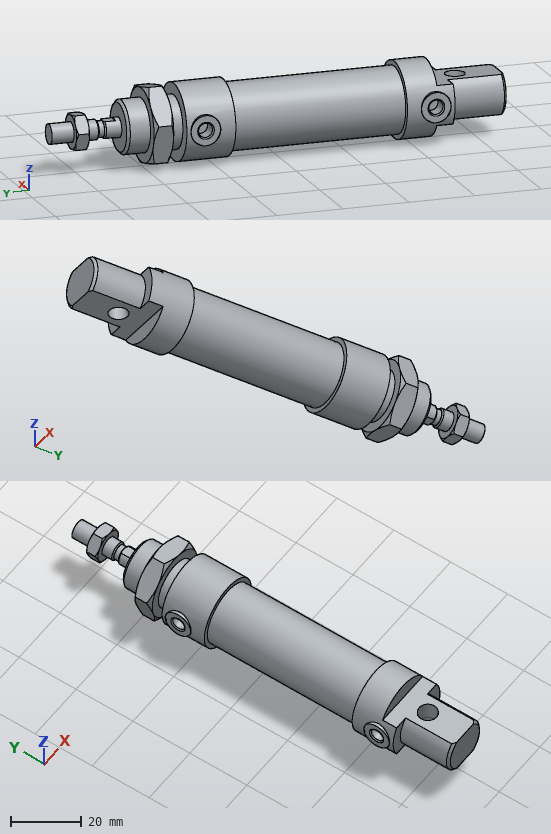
import cadquery as cq
import math

LENGTH = 136.0

CLEVIS_END = 17.0
REAR_CAP_STEP = 21.9
REAR_CAP_FRONT = 31.4
FRONT_CAP_BACK = 83.4
FRONT_CAP_FRONT = 98.2
NOSE_FRONT = 114.9

CAP_DIAMETER = 23.0
TUBE_DIAMETER = 20.0
THREAD_DIAMETER = 16.0
THREAD_CHAMFER = 0.8

CLEVIS_THICKNESS = 12.0
PIN_HOLE_DIAMETER = 6.0
PIN_HOLE_Y = 13.0

PORT_STATIONS = (22.7, 92.5)
PORT_BOSS_DIAMETER = 9.0
PORT_FACE_X = -11.7
PORT_MOUTH_DIAMETER = 5.0
PORT_BORE_DIAMETER = 4.2
PORT_DEPTH = 4.8

ROD_DIAMETER = 6.0
ROD_BACK = FRONT_CAP_BACK
NECK_DIAMETER = 4.9
NECK_BACK = 120.0
NECK_FRONT = 121.6
NECK_CHAMFER = 0.4
WRENCH_FLAT_WIDTH = 5.0
WRENCH_FLAT_BACK = 116.4

NOSE_NUT_BACK = 102.0
NOSE_NUT_THICKNESS = 6.0
NOSE_NUT_FLATS = 22.0
NOSE_NUT_ANGLE = 12.5
ROD_NUT_BACK = 125.4
ROD_NUT_THICKNESS = 4.0
ROD_NUT_FLATS = 10.0
ROD_NUT_ANGLE = 7.0
NUT_CHAMFER_ANGLE = 30.0


def cylinder_y(diameter, start, end):
    """Cylinder on the Y axis between two stations."""
    direction = cq.Vector(0, 1, 0)
    solid = cq.Solid.makeCylinder(diameter / 2, end - start, cq.Vector(0, start, 0), direction)
    return cq.Workplane(obj=solid)


def cylinder_x(diameter, y, start, end):
    """Cylinder parallel to X, crossing the Y axis at y."""
    direction = cq.Vector(1, 0, 0)
    solid = cq.Solid.makeCylinder(diameter / 2, end - start, cq.Vector(start, y, 0), direction)
    return cq.Workplane(obj=solid)


def flattened(body, start, end, thickness):
    """Cut body to a thickness in Z between two stations."""
    length = end - start
    slab_center = (0, (start + end) / 2, 0)
    surround = cq.Workplane().box(CAP_DIAMETER * 2, length, CAP_DIAMETER * 2).translate(slab_center)
    slab = cq.Workplane().box(CAP_DIAMETER * 2, length, thickness).translate(slab_center)
    return body.cut(surround.cut(slab))


def port_cavity(y):
    """Blind port bore with a countersunk mouth."""
    sink = (PORT_MOUTH_DIAMETER - PORT_BORE_DIAMETER) / 2
    bore = cylinder_x(PORT_BORE_DIAMETER, y, PORT_FACE_X, PORT_FACE_X + PORT_DEPTH)
    mouth = cq.Solid.makeCone(
        PORT_MOUTH_DIAMETER / 2, PORT_BORE_DIAMETER / 2, sink,
        cq.Vector(PORT_FACE_X, y, 0), cq.Vector(1, 0, 0),
    )
    return bore.union(cq.Workplane(obj=mouth))


def make_housing():
    tongue = cylinder_y(THREAD_DIAMETER, 0, CLEVIS_END).faces("<Y").chamfer(THREAD_CHAMFER)
    rear_cap = cylinder_y(CAP_DIAMETER, CLEVIS_END, REAR_CAP_FRONT)
    tube = cylinder_y(TUBE_DIAMETER, REAR_CAP_FRONT, FRONT_CAP_BACK)
    front_cap = cylinder_y(CAP_DIAMETER, FRONT_CAP_BACK, FRONT_CAP_FRONT)
    nose = cylinder_y(THREAD_DIAMETER, FRONT_CAP_FRONT, NOSE_FRONT).faces(">Y").chamfer(THREAD_CHAMFER)

    housing = flattened(tongue.union(rear_cap), 0, REAR_CAP_STEP, CLEVIS_THICKNESS)
    housing = housing.union(tube).union(front_cap).union(nose)

    pin_hole = cq.Workplane().center(0, PIN_HOLE_Y).circle(PIN_HOLE_DIAMETER / 2)
    housing = housing.cut(pin_hole.extrude(CLEVIS_THICKNESS, both=True))

    for y in PORT_STATIONS:
        boss = cylinder_x(PORT_BOSS_DIAMETER, y, PORT_FACE_X, PORT_FACE_X + PORT_DEPTH)
        housing = housing.union(boss).cut(port_cavity(y))

    return housing.cut(cylinder_y(ROD_DIAMETER, ROD_BACK, NOSE_FRONT))


def make_rod():
    shank = cylinder_y(ROD_DIAMETER, ROD_BACK, NECK_BACK).faces(">Y").chamfer(NECK_CHAMFER)
    shank = flattened(shank, WRENCH_FLAT_BACK, NECK_BACK, WRENCH_FLAT_WIDTH)
    neck = cylinder_y(NECK_DIAMETER, NECK_BACK, NECK_FRONT)
    tip = cylinder_y(ROD_DIAMETER, NECK_FRONT, LENGTH).faces("<Y").chamfer(NECK_CHAMFER)
    return shank.union(neck).union(tip)


def make_nut(flats, thickness, bore, back, angle):
    """Hexagon nut on the Y axis, both faces chamfered; angle turns it about Y."""
    corner_radius = flats / 2 / math.cos(math.radians(30))
    face_radius = flats / 2
    drop = (corner_radius - face_radius) * math.tan(math.radians(NUT_CHAMFER_ANGLE))
    hexagon = cq.Workplane().polygon(6, 2 * corner_radius).circle(bore / 2).extrude(thickness)
    envelope = (
        cq.Workplane("XZ")
        .moveTo(0, 0)
        .lineTo(face_radius, 0)
        .lineTo(corner_radius, drop)
        .lineTo(corner_radius, thickness - drop)
        .lineTo(face_radius, thickness)
        .lineTo(0, thickness)
        .close()
        .revolve(360, (0, 0, 0), (0, 1, 0))
    )
    nut = hexagon.intersect(envelope).rotate((0, 0, 0), (1, 0, 0), -90)
    return nut.rotate((0, 0, 0), (0, 1, 0), angle).translate((0, back, 0))


housing = make_housing()
rod = make_rod()
nose_nut = make_nut(NOSE_NUT_FLATS, NOSE_NUT_THICKNESS, THREAD_DIAMETER, NOSE_NUT_BACK, NOSE_NUT_ANGLE)
rod_nut = make_nut(ROD_NUT_FLATS, ROD_NUT_THICKNESS, ROD_DIAMETER, ROD_NUT_BACK, ROD_NUT_ANGLE)

bodies = (housing, rod, nose_nut, rod_nut)
result = cq.Compound.makeCompound([body.solids().val() for body in bodies])